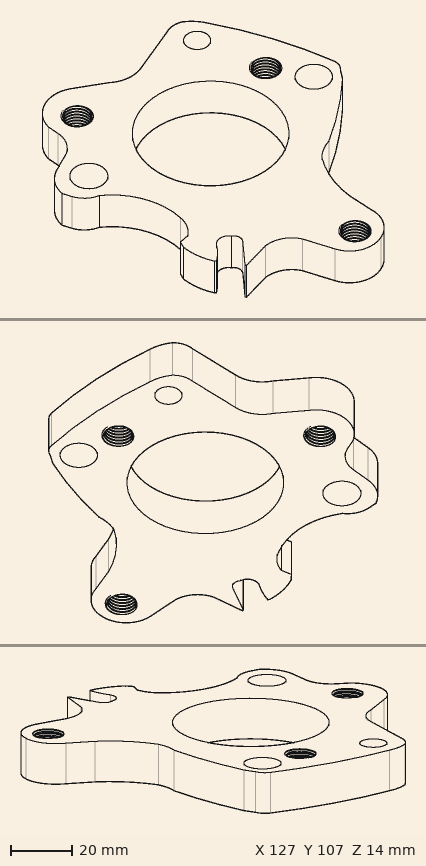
import cadquery as cq

THICKNESS = 14.0
BORE_DIAMETER = 51.2

PLAIN_HOLES = [
    ((-23.0, 39.5), 8.9),
    ((19.0, 39.3), 12.2),
    ((-27.5, -35.6), 12.5),
]

THREADED_HOLES = [(2.9, 37.0), (-43.2, -10.2), (62.8, -23.4)]
MINOR_DIAMETER = 9.5
THREAD_DEPTH = 0.6
THREAD_PITCH = 1.3
GROOVE_MOUTH = 0.9
GROOVE_ROOT = 0.3
GROOVE_OVERLAP = 0.1
EXTRA_TURNS = 3
GROOVE_TOP_ANGLE = -45.0

LEFT_LOBE_RADIUS = 12.5
RIGHT_LOBE_RADIUS = 11.2
LOWER_LOBE_RADIUS = 11.8
LOWER_LOBE_BLEND_RADIUS = 9.9
UPPER_LEFT_CORNER_RADIUS = 8.4
UPPER_LEFT_BLEND_RADIUS = 15.9
UPPER_RIGHT_CORNER_RADIUS = 5.0
TOP_EDGE_RADIUS = 149.9
RIGHT_EDGE_RADIUS = 142.3
FOOT_RADIUS = 23.1
SLOT_SIDE_RADIUS = 25.4

SHOULDER_RADIUS = 12.6
RIGHT_FLANK_RADIUS = 37.1
RIGHT_FLANK_BLEND_RADIUS = 15.8
PRONG_BLEND_RADIUS = 11.4
SLOT_CORNER_RADIUS = 2.9
SLOT_END_RADIUS = 4.0
SCALLOP_RADIUS = 28.1
SCALLOP_END_RADIUS = 11.3
WAIST_RADIUS = 10.0


def plate_outline():
    """Closed outline, traced clockwise; hollow arcs take a negative radius."""
    path = cq.Workplane("XY").moveTo(37.1, -53.9)
    path = path.lineTo(31.5, -43.5)
    path = path.radiusArc((27.2, -42.8), -SLOT_CORNER_RADIUS)
    path = path.radiusArc((24.4, -48.5), -SLOT_END_RADIUS)
    path = path.radiusArc((27.8, -55.9), SLOT_SIDE_RADIUS)
    path = path.lineTo(27.2, -56.3)
    path = path.radiusArc((15.2, -54.4), FOOT_RADIUS)
    path = path.lineTo(13.2, -52.5)
    path = path.lineTo(14.1, -48.7)
    path = path.radiusArc((8.4, -41.7), -SCALLOP_END_RADIUS)
    path = path.radiusArc((-20.3, -42.8), -SCALLOP_RADIUS)
    path = path.radiusArc((-28.3, -47.0), LOWER_LOBE_BLEND_RADIUS)
    path = path.lineTo(-31.8, -47.0)
    path = path.radiusArc((-38.2, -37.0), LOWER_LOBE_RADIUS)
    path = path.lineTo(-38.6, -30.0)
    path = path.radiusArc((-45.4, -20.8), -WAIST_RADIUS)
    path = path.lineTo(-49.4, -19.3)
    path = path.radiusArc((-49.8, 1.5), LEFT_LOBE_RADIUS)
    path = path.lineTo(-40.5, 8.8)
    path = path.radiusArc((-34.0, 19.6), -SHOULDER_RADIUS)
    path = path.lineTo(-33.7, 39.0)
    path = path.radiusArc((-31.3, 45.7), UPPER_LEFT_CORNER_RADIUS)
    path = path.radiusArc((-23.8, 48.7), UPPER_LEFT_BLEND_RADIUS)
    path = path.radiusArc((21.9, 49.0), TOP_EDGE_RADIUS)
    path = path.radiusArc((25.7, 45.9), UPPER_RIGHT_CORNER_RADIUS)
    path = path.lineTo(28.0, 42.4)
    path = path.radiusArc((36.7, 12.6), RIGHT_EDGE_RADIUS)
    path = path.radiusArc((37.9, 4.6), -RIGHT_FLANK_BLEND_RADIUS)
    path = path.radiusArc((54.0, -8.8), -RIGHT_FLANK_RADIUS)
    path = path.lineTo(63.1, -12.0)
    path = path.radiusArc((71.8, -23.0), RIGHT_LOBE_RADIUS)
    path = path.radiusArc((60.6, -34.4), RIGHT_LOBE_RADIUS)
    path = path.lineTo(48.8, -34.4)
    path = path.radiusArc((39.3, -42.4), -PRONG_BLEND_RADIUS)
    path = path.lineTo(37.6, -53.9)
    return path.close()


def thread_cutter():
    """Helical ridge that cuts the thread groove, for a hole on the Z axis."""
    minor_radius = MINOR_DIAMETER / 2
    inner_radius = minor_radius - GROOVE_OVERLAP
    root_radius = minor_radius + THREAD_DEPTH
    flank_slope = (GROOVE_MOUTH - GROOVE_ROOT) / THREAD_DEPTH
    inner_width = GROOVE_MOUTH + flank_slope * GROOVE_OVERLAP
    turns = int(THICKNESS / THREAD_PITCH) + EXTRA_TURNS
    helix = cq.Wire.makeHelix(THREAD_PITCH, turns * THREAD_PITCH, minor_radius)
    profile = cq.Workplane("XZ").polyline([
        (inner_radius, -inner_width / 2),
        (root_radius, -GROOVE_ROOT / 2),
        (root_radius, GROOVE_ROOT / 2),
        (inner_radius, inner_width / 2),
    ]).close()
    ridge = profile.sweep(cq.Workplane(obj=helix), isFrenet=True)
    start_height = THICKNESS - (turns - 1) * THREAD_PITCH
    return ridge.rotate((0, 0, 0), (0, 0, 1), GROOVE_TOP_ANGLE).translate((0, 0, start_height))


def drill(plate, centre, diameter):
    """Cut a plain hole right through the plate."""
    return plate.cut(cq.Workplane("XY").center(*centre).circle(diameter / 2).extrude(THICKNESS))


result = plate_outline().extrude(THICKNESS)
result = drill(result, (0, 0), BORE_DIAMETER)

for hole_centre, hole_diameter in PLAIN_HOLES:
    result = drill(result, hole_centre, hole_diameter)

groove = thread_cutter()
for hole_centre in THREADED_HOLES:
    result = result.cut(groove.translate((*hole_centre, 0)))
    result = drill(result, hole_centre, MINOR_DIAMETER)